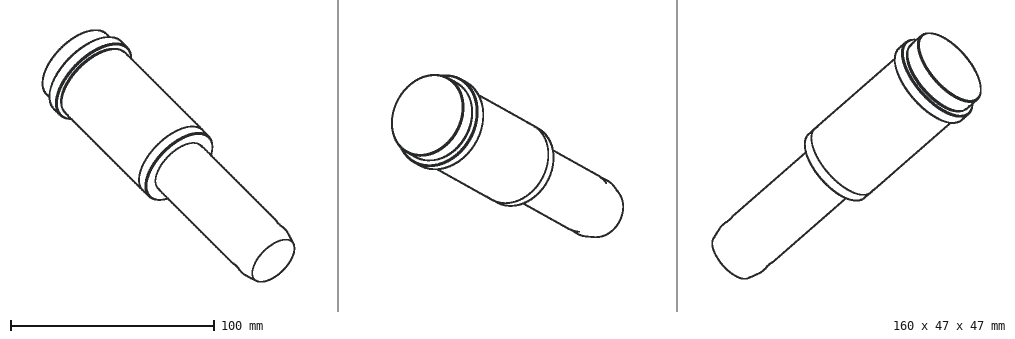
import cadquery as cq

total_length = 160.0
body_diameter = 42.0
collar_diameter = 47.0
pin_diameter = 30.0
nose_diameter = 26.2

collar_start = 9.0
collar_end = 15.0
land_start = 78.5
body_end = 84.0
groove_start = 144.5
groove_end = 150.4
nose_start = 152.8

edge_chamfer = 0.5
relief_length = 1.0
relief_depth = 0.3
land_step = 0.08
shoulder_relief_length = 0.6
shoulder_relief_depth = 0.2
groove_flank = 0.8
groove_depth = 0.24
nose_bulge = 0.08

body_radius = body_diameter / 2
land_radius = body_radius - land_step
collar_radius = collar_diameter / 2
pin_radius = pin_diameter / 2
nose_radius = nose_diameter / 2
relief_radius = body_radius - relief_depth
groove_radius = pin_radius - groove_depth
nose_middle_x = (nose_start + total_length) / 2
nose_middle_radius = (pin_radius + nose_radius) / 2 + nose_bulge

profile = (
    cq.Workplane("XY")
    .moveTo(0, 0)
    .lineTo(0, body_radius - edge_chamfer)
    .lineTo(edge_chamfer, body_radius)
    .lineTo(collar_start - relief_length, body_radius)
    .lineTo(collar_start, relief_radius)
    .lineTo(collar_start, collar_radius - edge_chamfer)
    .lineTo(collar_start + edge_chamfer, collar_radius)
    .lineTo(collar_end - edge_chamfer, collar_radius)
    .lineTo(collar_end, collar_radius - edge_chamfer)
    .lineTo(collar_end, relief_radius)
    .lineTo(collar_end + relief_length, body_radius)
    .lineTo(land_start, body_radius)
    .lineTo(land_start, land_radius)
    .lineTo(body_end - edge_chamfer, land_radius)
    .lineTo(body_end, land_radius - edge_chamfer)
    .lineTo(body_end, pin_radius - shoulder_relief_depth)
    .lineTo(body_end + shoulder_relief_length, pin_radius)
    .lineTo(groove_start, pin_radius)
    .lineTo(groove_start + groove_flank, groove_radius)
    .lineTo(groove_end - groove_flank, groove_radius)
    .lineTo(groove_end, pin_radius)
    .lineTo(nose_start, pin_radius)
    .threePointArc((nose_middle_x, nose_middle_radius), (total_length, nose_radius))
    .lineTo(total_length, 0)
    .close()
)

result = profile.revolve(360, (0, 0, 0), (1, 0, 0))